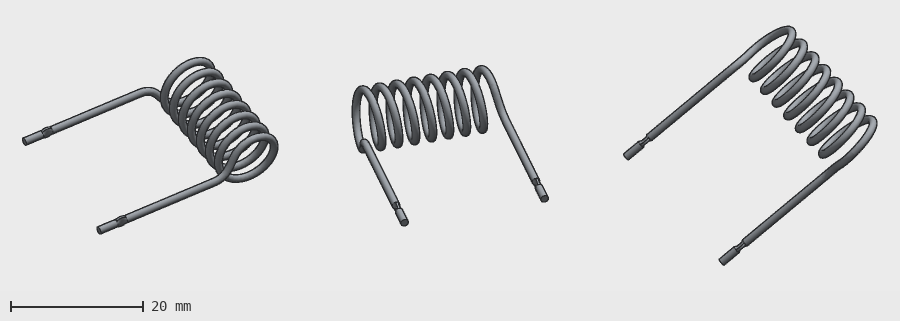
import cadquery as cq
import math

wire_diameter = 1.2
coil_mean_radius = 4.5
coil_length = 20.0
coil_turns = 7.5
leg_spacing = 22.0
leg_start_y = -7.12
overall_length = 32.35
lead_middle_y = -3.55
lead_middle_z = -2.3
crimp_start_y = -22.58
crimp_end_y = -24.23
crimp_half_height = 0.87
crimp_waist_half_width = 0.25
crimp_edge_half_width = 0.2

wire_radius = wire_diameter / 2
coil_pitch = coil_length / coil_turns
leg_x = leg_spacing / 2
leg_end_y = coil_mean_radius + wire_radius - overall_length


def make_coil():
    """Right-handed coil along X, from the bottom at -X to the top at +X."""
    path = (
        cq.Wire.makeHelix(coil_pitch, coil_length, coil_mean_radius)
        .rotate(cq.Vector(0, 0, 0), cq.Vector(0, 1, 0), 90)
        .translate(cq.Vector(-coil_length / 2, 0, 0))
    )
    start = cq.Vector(-coil_length / 2, 0, -coil_mean_radius)
    tangent = cq.Vector(coil_pitch / (2 * math.pi), coil_mean_radius, 0)
    profile = cq.Workplane(cq.Plane(start, (0, 0, 1), tangent)).circle(wire_radius)
    return profile.sweep(cq.Workplane(obj=path), isFrenet=True)


def make_lead():
    """Smooth bend from the bottom of the coil's -X end to the -X leg."""
    start = cq.Vector(-coil_length / 2, 0, -coil_mean_radius)
    middle_x = -(coil_length / 2 + leg_x) / 2
    middle = cq.Vector(middle_x, lead_middle_y, lead_middle_z)
    end = cq.Vector(-leg_x, leg_start_y, 0)
    away_from_coil = cq.Vector(-coil_pitch / (2 * math.pi), -coil_mean_radius, 0)
    path = cq.Workplane(
        obj=cq.Edge.makeSpline(
            [start, middle, end],
            tangents=[away_from_coil.normalized(), cq.Vector(0, -1, 0)],
        )
    )
    profile = cq.Workplane(cq.Plane(start, (0, 0, 1), away_from_coil)).circle(wire_radius)
    return profile.sweep(path)


def make_rod(start_y, end_y):
    """Straight round wire of the -X leg, running towards -Y."""
    plane = cq.Plane((-leg_x, start_y, 0), (1, 0, 0), (0, -1, 0))
    return cq.Workplane(plane).circle(wire_radius).extrude(start_y - end_y)


def crimp_section(y, half_width, half_height):
    """Closed section with flat top and bottom edges and bulging sides."""
    edge = crimp_edge_half_width
    plane = cq.Plane((-leg_x, y, 0), (1, 0, 0), (0, -1, 0))
    return (
        cq.Workplane(plane)
        .moveTo(-edge, half_height)
        .lineTo(edge, half_height)
        .threePointArc((half_width, 0), (edge, -half_height))
        .lineTo(-edge, -half_height)
        .threePointArc((-half_width, 0), (-edge, half_height))
        .close()
        .val()
    )


def make_crimp():
    """Pinched stretch of the leg: narrow along X and spread along Z."""
    end_half_height = math.sqrt(wire_radius**2 - crimp_edge_half_width**2)
    middle_y = (crimp_start_y + crimp_end_y) / 2
    sections = [
        crimp_section(crimp_start_y, wire_radius, end_half_height),
        crimp_section(middle_y, crimp_waist_half_width, crimp_half_height),
        crimp_section(crimp_end_y, wire_radius, end_half_height),
    ]
    return cq.Workplane(obj=cq.Solid.makeLoft(sections))


wire_end = (
    make_lead()
    .union(make_rod(leg_start_y, crimp_start_y))
    .union(make_crimp())
    .union(make_rod(crimp_end_y, leg_end_y))
)

opposite_end = wire_end.rotate((0, 0, 0), (0, 1, 0), 180)

result = make_coil().union(wire_end).union(opposite_end)